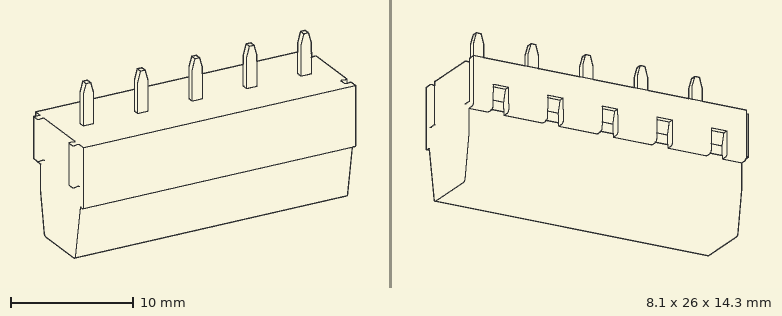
import cadquery as cq
import math

pole_count = 5
overall_length = 26.0
dovetail_reach = 0.6
housing_length = overall_length - dovetail_reach
pitch = housing_length / pole_count
housing_width = 8.1
overall_height = 14.3
pin_height = 3.75
housing_height = overall_height - pin_height
half_width = housing_width / 2

left_shoulder_depth = 4.37
left_step = 0.8
left_draft_depth = 6.65
right_shoulder_depth = 5.55
right_step = 0.52
draft_angle = 10
draft_slope = math.tan(math.radians(draft_angle))
edge_radius = 0.3
right_shoulder_edge_radius = 0.18

pin_thickness = 0.57
pin_width = 0.95
pin_tip_width = 0.45
pin_tip_height = 0.94

window_ceiling_depth = 2.18
window_slope_height = 1.01
window_slope_angle = 19
window_sill_depth = 4.05
window_sill_width = 0.05
window_top_width = 1.4
window_bottom_width = 1.48

dovetail_length = 3.77
dovetail_inset = 1.1
dovetail_root_width = 0.52
dovetail_flank_angle = 15
dovetail_edge_radius = 0.1
dovetail_foot_thickness = 0.25
dovetail_foot_width = 1.3


def pole_position(index):
    return (index + 0.5) * pitch


def round_long_edge(solid, x, depth, radius):
    """Fillet the edge that runs along Y at the given place in the cross-section."""
    edge = cq.selectors.NearestToPointSelector((x, housing_length / 2, -depth))
    return solid.edges(edge).fillet(radius)


def make_housing():
    left_taper = (housing_height - left_draft_depth) * draft_slope
    right_taper = (housing_height - right_shoulder_depth) * draft_slope
    left_neck = -half_width + left_step
    right_neck = half_width - right_step
    outline = [
        (-half_width, 0),
        (-half_width, -left_shoulder_depth),
        (left_neck, -left_shoulder_depth),
        (left_neck, -left_draft_depth),
        (left_neck + left_taper, -housing_height),
        (right_neck - right_taper, -housing_height),
        (right_neck, -right_shoulder_depth),
        (half_width, -right_shoulder_depth),
        (half_width, 0),
    ]
    body = cq.Workplane("XZ").polyline(outline).close().extrude(-housing_length)

    body = round_long_edge(body, -half_width, left_shoulder_depth, edge_radius)
    body = round_long_edge(body, left_neck + left_taper, housing_height, edge_radius)
    body = round_long_edge(body, right_neck - right_taper, housing_height, edge_radius)
    return round_long_edge(body, half_width, right_shoulder_depth, right_shoulder_edge_radius)


def make_pin(y):
    outline = [
        (y - pin_width / 2, 0),
        (y + pin_width / 2, 0),
        (y + pin_width / 2, pin_height - pin_tip_height),
        (y + pin_tip_width / 2, pin_height),
        (y - pin_tip_width / 2, pin_height),
        (y - pin_width / 2, pin_height - pin_tip_height),
    ]
    return cq.Workplane("YZ").polyline(outline).close().extrude(pin_thickness / 2, both=True)


def make_window(y):
    neck = -half_width + left_step
    back = neck + window_sill_width
    slope_run = window_slope_height * math.tan(math.radians(window_slope_angle))
    section = [
        (-half_width, -window_ceiling_depth),
        (back - slope_run, -window_ceiling_depth),
        (back, -window_ceiling_depth - window_slope_height),
        (back, -window_sill_depth),
        (neck, -window_sill_depth),
        (neck, -left_shoulder_depth),
        (-half_width, -left_shoulder_depth),
    ]
    sides = [
        (y - window_top_width / 2, -window_ceiling_depth),
        (y + window_top_width / 2, -window_ceiling_depth),
        (y + window_bottom_width / 2, -left_shoulder_depth),
        (y - window_bottom_width / 2, -left_shoulder_depth),
    ]
    section_prism = cq.Workplane("XZ").polyline(section).close().extrude(-housing_length)
    side_prism = cq.Workplane("YZ").polyline(sides).close().extrude(-housing_width)
    return section_prism.intersect(side_prism)


def make_dovetails(root_y):
    """Pair of dovetails pointing to -Y, each on a foot that blends into it at root_y."""
    flare = dovetail_reach * math.tan(math.radians(dovetail_flank_angle))
    root = dovetail_root_width / 2
    tip = root + flare
    foot = dovetail_foot_width / 2
    margin = dovetail_edge_radius
    tip_y = root_y - dovetail_reach
    foot_y = root_y + dovetail_foot_thickness
    outline = [
        (-foot, foot_y),
        (-foot, root_y),
        (-root, root_y),
        (-tip, tip_y),
        (tip, tip_y),
        (root, root_y),
        (foot, root_y),
        (foot, foot_y),
    ]
    dovetail = cq.Workplane("XY").polyline(outline).close().extrude(-dovetail_length)
    blended_zone = cq.selectors.BoxSelector(
        (-tip - margin, tip_y - margin, -dovetail_length),
        (tip + margin, root_y + margin, 0),
    )
    dovetail = dovetail.edges("|Z").edges(blended_zone).fillet(dovetail_edge_radius)
    left = dovetail.translate((dovetail_inset - half_width, 0, 0))
    return left.union(left.mirror("YZ"))


result = make_housing()
for pole in range(pole_count):
    result = result.cut(make_window(pole_position(pole)))
    result = result.union(make_pin(pole_position(pole)))
result = result.cut(make_dovetails(housing_length))
result = result.union(make_dovetails(0))